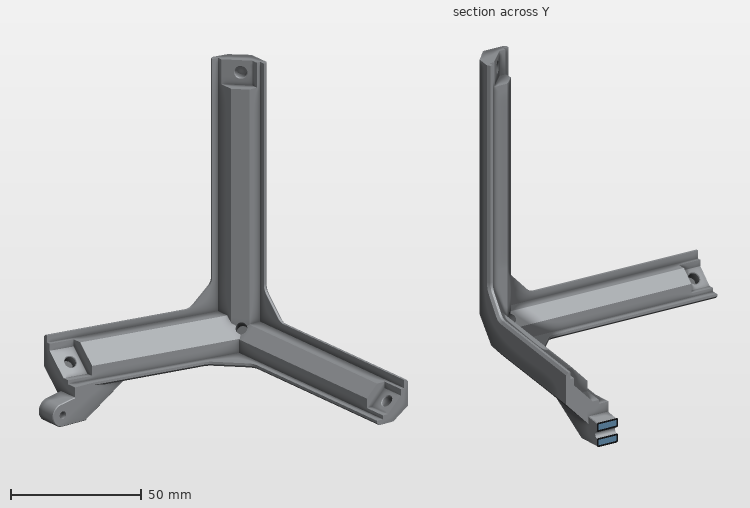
import cadquery as cq
import math


X_REACH = 104.0
Y_REACH = 85.0
Z_REACH = 119.0
SLANT_SHIFT = 15.0
SLANT = math.atan(SLANT_SHIFT / Y_REACH)
SIN = math.sin(SLANT)
COS = math.cos(SLANT)
TAN = math.tan(SLANT)

WALL = 2.0
BEVEL = 1.0
LIP_DEPTH = 15.0
SIDE_LIP = 14.6
X_ARM_HEIGHT = 15.8
Z_ARM_WIDTH = 15.45
Y_ARM_SIZE = 18.0
BACK_GUSSET = 10.4
SIDE_GUSSET = 9.4
FLOOR_GUSSET_DEPTH = 12.4
FLOOR_GUSSET_WIDTH = 10.2
GUSSET_ROUND = 5.0

CORE_DEPTH = 12.2
X_CORE_HEIGHT = 12.45
Z_CORE_WIDTH = 13.05
CORE_CHAMFER = 5.0
Y_CORE_SIZE = 15.1
Y_CORE_CHAMFER = 7.4

CHAMFER = 5.0
X_CHAMFER_DEPTH = 7.2
Z_CHAMFER_DEPTH = 6.8
FACET_TOP = 15.2
FACET_SIDE = 14.1
FACET_DEPTH = 17.3

POCKET_LENGTH = 10.2
POCKET_SHOULDER = 3.6
Z_POCKET_SHOULDER = 2.0
X_POCKET_REACH = 13.4
Y_POCKET_REACH = 15.8
Z_POCKET_REACH = 13.9

HOLE_DIAMETER = 4.6
HOLE_LEAD_IN = 0.3
HOLE_DEPTH = 4.0
END_TO_HOLE = 5.0
X_HOLE_HEIGHT = 6.8
Y_HOLE_OFFSET = 7.9
Y_END_TO_HOLE = 5.9
Z_HOLE_OFFSET = 7.1

LUG_LEFT = -4.5
LUG_RIGHT = 4.8
LUG_RADIUS = 4.75
LUG_START_Y = -60.4
LUG_KNEE_Y = -80.0
LUG_TOP_SLOPE = math.radians(10)
LUG_EDGE = 0.3
PIN_DIAMETER = 3.1
PIN_Y = -91.0
PIN_Z = -8.0

FAR = 60.0
TOLERANCE = 1e-3

Y_ARM_PLANE = cq.Plane(origin=(0, 0, 0), xDir=(COS, -SIN, 0), normal=(-SIN, -COS, 0))
X_ARM_PLANE = cq.Plane(origin=(0, 0, 0), xDir=(0, -1, 0), normal=(-1, 0, 0))

BACK_PLANE = cq.Plane(origin=(0, 0, 0), xDir=(1, 0, 0), normal=(0, -1, 0))
SIDE_PLANE = cq.Plane(origin=(0, 0, 0), xDir=(0, 0, 1), normal=(COS, -SIN, 0))
FLOOR_PLANE = cq.Plane(origin=(0, 0, 0), xDir=(0, -1, 0), normal=(0, 0, 1))


def side_x(y):
    """X of the slanted side wall's outer face at a given y."""
    return y * TAN


def block(x_range, y_range, z_range):
    """Axis-aligned box between the given limits."""
    sizes = [end - start for start, end in (x_range, y_range, z_range)]
    low_corner = (x_range[0], y_range[0], z_range[0])
    return cq.Workplane("XY").box(*sizes, centered=False).translate(low_corner)


def slanted_block(width, y_far, height):
    """Block along the side wall, its width measured square to that wall."""
    span = width / COS
    outline = [(0, 0), (span, 0), (side_x(y_far) + span, y_far), (side_x(y_far), y_far)]
    return cq.Workplane("XY").polyline(outline).close().extrude(height)


def corner_wedge(leg_1, leg_2):
    """Triangle that takes a chamfer with the given legs off a section's corner, with overshoot."""
    slope = leg_2 / leg_1
    return [(-FAR, leg_2 + FAR * slope), (leg_1 + FAR, -FAR * slope), (-FAR, -FAR * slope)]


def lies_on(edge, plane):
    """Whether both ends of an edge are in a plane."""
    return all(abs(plane.toLocalCoords(v.Center()).z) < TOLERANCE for v in edge.Vertices())


def wall_plate(plane, outline):
    """L-shaped plate with a gusset in its inner corner.

    The outline has seven points: outer corner, two at the first arm's end, two at the gusset,
    two at the second arm's end. The free edge from the first arm's end to the second's is rounded
    at the gusset and bevelled on the outer face.
    """
    plate = cq.Workplane(plane).polyline(outline).close().extrude(WALL)
    for u, v in outline[3:5]:
        bend = plane.toWorldCoords((u, v, WALL / 2)).toTuple()
        plate = plate.edges(cq.selectors.NearestToPointSelector(bend)).fillet(GUSSET_ROUND)

    kept_sides = [(6, 0), (0, 1), (1, 2), (5, 6)]
    kept_middles = []
    for start, end in kept_sides:
        u = (outline[start][0] + outline[end][0]) / 2
        v = (outline[start][1] + outline[end][1]) / 2
        kept_middles.append(plane.toWorldCoords((u, v, 0)))

    free_edges = [
        edge
        for edge in plate.edges().vals()
        if lies_on(edge, plane)
        and all((edge.Center() - middle).Length > TOLERANCE for middle in kept_middles)
    ]
    return plate.newObject(free_edges).chamfer(BEVEL)


def back_wall():
    return wall_plate(BACK_PLANE, [
        (0, 0),
        (X_REACH, 0),
        (X_REACH, X_ARM_HEIGHT),
        (Z_ARM_WIDTH + BACK_GUSSET, X_ARM_HEIGHT),
        (Z_ARM_WIDTH, X_ARM_HEIGHT + BACK_GUSSET),
        (Z_ARM_WIDTH, Z_REACH),
        (0, Z_REACH),
    ])


def side_wall():
    arm_end = Y_REACH / COS + Y_ARM_SIZE * TAN
    return wall_plate(SIDE_PLANE, [
        (0, 0),
        (Z_REACH, 0),
        (Z_REACH, SIDE_LIP),
        (Y_ARM_SIZE + SIDE_GUSSET, SIDE_LIP),
        (Y_ARM_SIZE, SIDE_LIP + SIDE_GUSSET),
        (Y_ARM_SIZE, arm_end),
        (0, arm_end),
    ])


def floor_wall():
    def arm_edge(depth):
        return side_x(-depth) + Y_ARM_SIZE / COS

    gusset_depth = LIP_DEPTH + FLOOR_GUSSET_DEPTH
    return wall_plate(FLOOR_PLANE, [
        (0, 0),
        (Y_REACH, side_x(-Y_REACH)),
        (Y_REACH, arm_edge(Y_REACH)),
        (gusset_depth, arm_edge(gusset_depth)),
        (LIP_DEPTH, arm_edge(LIP_DEPTH) + FLOOR_GUSSET_WIDTH),
        (LIP_DEPTH, X_REACH),
        (0, X_REACH),
    ])


def x_core():
    core = block((0, X_REACH), (-CORE_DEPTH, 0), (0, X_CORE_HEIGHT))
    return core.edges("|X and <Y and >Z").chamfer(CORE_CHAMFER)


def y_core():
    core = slanted_block(Y_CORE_SIZE, -Y_REACH, Y_CORE_SIZE)
    inner_edge = (side_x(-Y_REACH / 2) + Y_CORE_SIZE / COS, -Y_REACH / 2, Y_CORE_SIZE)
    return core.edges(cq.selectors.NearestToPointSelector(inner_edge)).chamfer(Y_CORE_CHAMFER)


def z_core():
    outline = [
        (0, 0),
        (Z_CORE_WIDTH, 0),
        (Z_CORE_WIDTH, CORE_CHAMFER - CORE_DEPTH),
        (Z_CORE_WIDTH - CORE_CHAMFER, -CORE_DEPTH),
        (side_x(-CORE_DEPTH), -CORE_DEPTH),
    ]
    return cq.Workplane("XY").polyline(outline).close().extrude(Z_REACH)


def lug_outline():
    """Side profile of the hinge lug as (y, z), with its eye around the pin."""
    tangent_y = PIN_Y - LUG_RADIUS * math.sin(LUG_TOP_SLOPE)
    tangent_z = PIN_Z + LUG_RADIUS * math.cos(LUG_TOP_SLOPE)
    top_at_arm = tangent_z + (-Y_REACH - tangent_y) * math.tan(LUG_TOP_SLOPE)
    return (
        cq.Workplane("YZ")
        .moveTo(LUG_START_Y, WALL)
        .lineTo(LUG_START_Y, 0)
        .lineTo(LUG_KNEE_Y, PIN_Z - LUG_RADIUS)
        .lineTo(PIN_Y, PIN_Z - LUG_RADIUS)
        .threePointArc((PIN_Y - LUG_RADIUS, PIN_Z), (tangent_y, tangent_z))
        .lineTo(-Y_REACH, top_at_arm)
        .lineTo(-Y_REACH, WALL)
        .close()
    )


def lug():
    body = lug_outline().extrude(LUG_RIGHT - LUG_LEFT)
    below_floor = cq.selectors.BoxSelector((-FAR, -2 * FAR, -FAR), (FAR, LUG_START_Y, -TOLERANCE))
    body = body.faces("<X or >X").edges(below_floor).edges("not |Z").chamfer(LUG_EDGE)
    pin_hole = cq.Workplane("YZ").center(PIN_Y, PIN_Z).circle(PIN_DIAMETER / 2).extrude(FAR)
    return body.cut(pin_hole).translate((LUG_LEFT, 0, 0))


def lug_filler():
    """Carries the lug's profile sideways under the Y arm, up to the arm's outer chamfer."""
    left_end = side_x(-Y_REACH)
    filler = lug_outline().extrude(LUG_LEFT - left_end).translate((left_end, 0, 0))
    return filler.intersect(block((-FAR, FAR), (-Y_REACH, 0), (-FAR, FAR)))


def outer_chamfers():
    along_x = cq.Workplane(X_ARM_PLANE).polyline(corner_wedge(X_CHAMFER_DEPTH, CHAMFER)).close()
    along_y = cq.Workplane(Y_ARM_PLANE).polyline(corner_wedge(CHAMFER, CHAMFER)).close()
    side_edge_x = side_x(-Z_CHAMFER_DEPTH)
    width = CHAMFER - side_edge_x
    cutter_left = side_edge_x - width
    along_z = cq.Workplane("XY").polyline([
        (cutter_left, -2 * Z_CHAMFER_DEPTH),
        (CHAMFER + width, Z_CHAMFER_DEPTH),
        (cutter_left, Z_CHAMFER_DEPTH),
    ]).close()
    return [
        along_x.extrude(-X_REACH - FAR).translate((-FAR, 0, 0)),
        along_y.extrude(2 * Y_REACH, both=True),
        along_z.extrude(2 * Z_REACH, both=True),
    ]


def corner_facet():
    """Half space, as a large block, outside the plane across the three outer chamfers."""
    on_back = cq.Vector(CHAMFER, 0, FACET_TOP)
    on_side = cq.Vector(side_x(-Z_CHAMFER_DEPTH), -Z_CHAMFER_DEPTH, FACET_SIDE)
    on_front = cq.Vector(side_x(-FACET_DEPTH), -FACET_DEPTH, CHAMFER)
    outward = (on_side - on_back).cross(on_front - on_back)
    if outward.x > 0:
        outward = outward * -1
    plane = cq.Plane(origin=on_side.toTuple(), xDir=(1, 1, 0), normal=outward.toTuple())
    return cq.Workplane(plane).rect(FAR, FAR).extrude(FAR)


def pocket_section(plane, shoulder_u, shoulder_v, reach, v_sign=1):
    """Area inside an arm's section beyond the pocket's two shoulders and its sloped floor."""
    outline = [
        (shoulder_u, FAR),
        (shoulder_u, reach - shoulder_u),
        (reach - shoulder_v, shoulder_v),
        (FAR, shoulder_v),
        (FAR, FAR),
    ]
    return cq.Workplane(plane).polyline([(u, v_sign * v) for u, v in outline]).close()


def end_pockets():
    x_pocket = pocket_section(X_ARM_PLANE, POCKET_SHOULDER, POCKET_SHOULDER, X_POCKET_REACH)
    x_end = block((X_REACH - POCKET_LENGTH, X_REACH), (-FAR, 0), (0, FAR))
    y_pocket = pocket_section(Y_ARM_PLANE, POCKET_SHOULDER, POCKET_SHOULDER, Y_POCKET_REACH)
    y_end = block((-FAR, FAR), (-Y_REACH, POCKET_LENGTH - Y_REACH), (0, FAR))
    z_pocket = pocket_section(
        cq.Plane.XY(), Z_POCKET_SHOULDER, POCKET_SHOULDER, Z_POCKET_REACH, v_sign=-1
    )
    z_end = block((0, FAR), (-FAR, 0), (Z_REACH - POCKET_LENGTH, Z_REACH))
    return [
        x_pocket.extrude(-X_REACH).intersect(x_end),
        y_pocket.extrude(2 * Y_REACH).intersect(y_end),
        z_pocket.extrude(Z_REACH).intersect(z_end),
    ]


def insert_hole(mouth, outward, lead_in=0.0):
    """Blind hole through a point on a sloped face, square to the face."""
    outward = cq.Vector(outward).normalized()
    mouth = cq.Vector(mouth)
    radius = HOLE_DIAMETER / 2
    start = mouth + outward * HOLE_DEPTH
    hole = cq.Workplane(cq.Solid.makeCylinder(radius, 2 * HOLE_DEPTH, start, -outward))
    if lead_in > 0:
        cone = cq.Solid.makeCone(radius + lead_in, radius, lead_in, mouth, -outward)
        hole = hole.union(cq.Workplane(cone))
    return hole


def insert_holes():
    x_mouth = (X_REACH - END_TO_HOLE, X_HOLE_HEIGHT - X_POCKET_REACH, X_HOLE_HEIGHT)
    z_mouth = (Z_HOLE_OFFSET, Z_HOLE_OFFSET - Z_POCKET_REACH, Z_REACH - END_TO_HOLE)
    y_hole_y = Y_END_TO_HOLE - Y_REACH
    y_mouth = (side_x(y_hole_y) + Y_HOLE_OFFSET / COS, y_hole_y, Y_POCKET_REACH - Y_HOLE_OFFSET)

    depth_plus_z = CORE_DEPTH + X_CORE_HEIGHT - CORE_CHAMFER
    depth_plus_x = CORE_DEPTH + Z_CORE_WIDTH - CORE_CHAMFER
    offset_plus_z = 2 * Y_CORE_SIZE - Y_CORE_CHAMFER
    depth = (depth_plus_x * COS + depth_plus_z - offset_plus_z) / (1 + COS - SIN)
    corner_mouth = (depth_plus_x - depth, -depth, depth_plus_z - depth)
    return [
        insert_hole(x_mouth, (0, -1, 1), HOLE_LEAD_IN),
        insert_hole(y_mouth, (COS, -SIN, 1), HOLE_LEAD_IN),
        insert_hole(z_mouth, (1, -1, 0), HOLE_LEAD_IN),
        insert_hole(corner_mouth, (1, -1, 1)),
    ]


def frame_corner():
    body = x_core()
    for piece in (y_core(), z_core(), back_wall(), side_wall(), floor_wall(), lug_filler()):
        body = body.union(piece)
    cutters = outer_chamfers() + [corner_facet()] + end_pockets() + insert_holes()
    for cutter in cutters:
        body = body.cut(cutter)
    past_y_end = block((-FAR, FAR), (-Y_REACH - FAR, -Y_REACH), (-FAR, FAR))
    return body.cut(past_y_end).union(lug())


result = frame_corner()